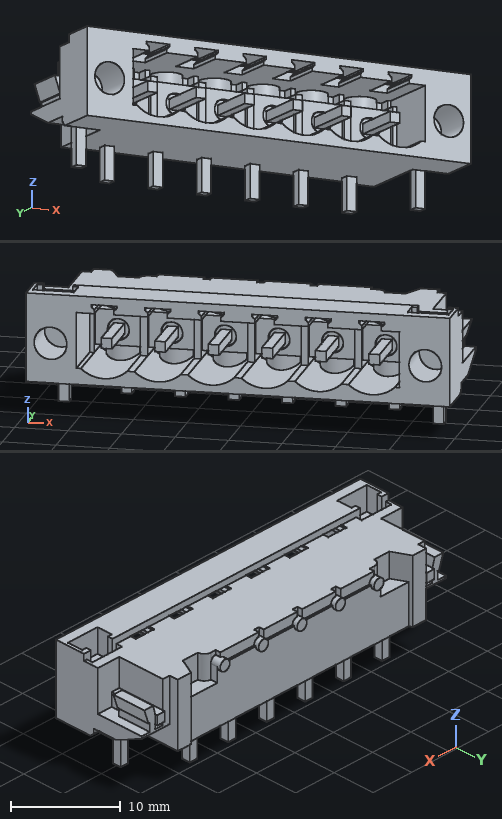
import cadquery as cq
import math


poles = 6
end_pin_span = 35.0
pitch = end_pin_span / (poles + 1)
pole_xs = [(i - (poles - 1) / 2) * pitch for i in range(poles)]
between_pole_xs = [(i - (poles - 2) / 2) * pitch for i in range(poles - 1)]
rib_xs = [(i - poles / 2) * pitch for i in range(poles + 1)]
sides = (-1, 1)

length = 39.6
depth = 12.0
height = 8.4
deck_z = 7.65
step_y = 3.6
flange_depth = 5.4
body_width = 34.05
body_rear_y = 10.95
ear_outer_x = 16.15
ear_inner_x = 14.4

chamber_width = 30.18
chamber_top_z = 6.8
chamber_depth = 7.92
rib_width = 0.67
rib_foot_z = 1.55
rib_front_y = 5.55
rib_top_z = 5.98
upper_rib_width = 0.48
upper_rib_front_y = 6.75
scallop_depth = 0.85
block_front_y = 5.95
block_bottom_z = 2.25
block_top_z = 5.62
column_radius = 1.55
recess_diameter = 2.0
recess_depth = 0.4
keyway_rear_y = 4.25
keyway_throat = 1.82
keyway_width = 2.38
keyway_slope_start_z = 7.15

hole_diameter = 3.05
axis_z = 3.75
hole_depth = 4.3
key_pocket_width = 3.85
key_pocket_front_y = 1.2
key_pocket_rear_y = 4.3
key_pocket_floor_z = 5.55
key_pocket_tab_front_y = 3.0
key_pocket_tab_length = 0.5

wing_top_z = 2.75
wing_tip_z = 2.45
wing_bottom_z = 0.95
wing_slope_y = 7.7
foot_rear_y = 4.87
foot_chamfer = 0.45
bar_outer_x = 18.0
bar_rear_y = 11.2
bar_top_z = 4.3
bar_slot_height = 0.48
bar_slot_front_y = 6.57
hook_front_y = 7.0
hook_outer_x = 19.45
hook_top_z = 5.35
hook_slope_bottom_z = 3.7
hook_slope_run = 0.55
hook_stem_x = 18.75
hook_inner_slope_run = 0.28

rear_wall_y = 11.65
deck_rear_y = 11.4
bead_radius = 0.65
bead_z = 6.5
bead_front_y = 10.8
pocket_floor_z = 4.75
pocket_front_y = 9.98
pocket_outer_x = 13.42
pocket_corner_radius = bead_front_y - pocket_front_y

pin_size = 1.0
contact_tip_y = 1.05
contact_leg_y = 9.95
end_pin_y = 6.0
end_pin_top_z = 1.98
leg_length = 3.25


def box(x0, x1, y0, y1, z0, z1):
    """Axis-aligned block between two limits on each axis."""
    return cq.Workplane("XY").box(x1 - x0, y1 - y0, z1 - z0, centered=False).translate((x0, y0, z0))


def mirrored_box(side, x0, x1, y0, y1, z0, z1):
    """Block placed at x0..x1 on the +X side, or at its mirror image for side = -1."""
    low, high = sorted((side * x0, side * x1))
    return box(low, high, y0, y1, z0, z1)


def main_body():
    """Core with wider shoulders; the rear wall lies between two sloped ears."""
    core = box(-ear_outer_x, ear_outer_x, 0, depth, 0, deck_z)
    shoulders = box(-body_width / 2, body_width / 2, 0, body_rear_y, wing_tip_z, deck_z)
    ear_slope = (ear_inner_x - pocket_outer_x) / (depth - pocket_front_y)
    gap_front_x = ear_inner_x - ear_slope * (depth - rear_wall_y)
    rear_gap = (
        cq.Workplane("XY")
        .moveTo(-ear_inner_x, depth)
        .lineTo(-gap_front_x, rear_wall_y)
        .lineTo(gap_front_x, rear_wall_y)
        .lineTo(ear_inner_x, depth)
        .close()
        .extrude(deck_z)
    )
    return core.union(shoulders).cut(rear_gap)


def flanges_and_wings():
    """Full-length section: stepped front block with the wings reaching back from it."""
    outline = [
        (0, 0),
        (foot_rear_y - foot_chamfer, 0),
        (foot_rear_y, foot_chamfer),
        (foot_rear_y, wing_bottom_z),
        (wing_slope_y, wing_bottom_z),
        (body_rear_y, wing_tip_z),
        (body_rear_y, wing_top_z),
        (flange_depth, wing_top_z),
        (flange_depth, deck_z),
        (step_y, deck_z),
        (step_y, height),
        (0, height),
    ]
    return cq.Workplane("YZ").polyline(outline).close().extrude(length / 2, both=True)


def chamber():
    """Opening with one scallop in its floor below each pole."""
    half = chamber_width / 2
    scallop_half = (pitch - rib_width) / 2
    profile = cq.Workplane("XZ").moveTo(-half, chamber_top_z).lineTo(-half, rib_foot_z)
    for x in pole_xs:
        profile = profile.lineTo(x - scallop_half, rib_foot_z)
        profile = profile.threePointArc((x, rib_foot_z - scallop_depth), (x + scallop_half, rib_foot_z))
    profile = profile.lineTo(half, rib_foot_z).lineTo(half, chamber_top_z).close()
    return profile.extrude(-chamber_depth)


def keyway(x):
    """Dovetail groove in the chamber roof, open through the deck behind the step."""
    throat = keyway_throat / 2
    wide = keyway_width / 2
    slope_end_z = keyway_slope_start_z + wide - throat
    right_edge = [
        (throat, chamber_top_z),
        (throat, keyway_slope_start_z),
        (wide, slope_end_z),
        (wide, deck_z),
    ]
    left_edge = [(-px, pz) for px, pz in reversed(right_edge)]
    outline = [(x + px, pz) for px, pz in right_edge + left_edge]
    return cq.Workplane("XZ").polyline(outline).close().extrude(-keyway_rear_y)


def pole_support(x):
    """Round column and cross block behind one pole, recessed round the contact."""
    column = (
        cq.Workplane("XY")
        .workplane(offset=rib_foot_z - scallop_depth)
        .center(x, chamber_depth)
        .circle(column_radius)
        .extrude(chamber_top_z - rib_foot_z + scallop_depth)
    )
    block = box(x - pitch / 2, x + pitch / 2, block_front_y, chamber_depth, block_bottom_z, block_top_z)
    recess = (
        cq.Workplane("XZ", origin=(x, block_front_y, axis_z))
        .circle(recess_diameter / 2)
        .extrude(-recess_depth)
    )
    return column.union(block).cut(recess)


def chamber_rib(x):
    """Rib between two poles, with a narrower upper part set further back."""
    lower = box(x - rib_width / 2, x + rib_width / 2, rib_front_y, chamber_depth, rib_foot_z, rib_top_z)
    half = upper_rib_width / 2
    upper = box(x - half, x + half, upper_rib_front_y, chamber_depth, rib_top_z, chamber_top_z)
    return lower.union(upper)


def flange_cut(side):
    """Blind screw hole from the front, and above it a keyed pocket that is open at the top."""
    x = side * end_pin_span / 2
    half = key_pocket_width / 2
    pocket = box(x - half, x + half, key_pocket_front_y, key_pocket_rear_y, key_pocket_floor_z, height)
    for edge in sides:
        tab_x0, tab_x1 = sorted((x + edge * half, x + edge * (half - key_pocket_tab_length)))
        pocket = pocket.cut(box(tab_x0, tab_x1, key_pocket_tab_front_y, step_y, key_pocket_floor_z, height))
    hole = cq.Workplane("XZ", origin=(x, 0, axis_z)).circle(hole_diameter / 2).extrude(-hole_depth)
    return pocket.union(hole)


def latch(side):
    """Bar along the body side, slotted underneath, with a hook on its outer face."""
    inner_x = body_width / 2
    bar = mirrored_box(side, inner_x, bar_outer_x, flange_depth, bar_rear_y, wing_top_z, bar_top_z)
    slot_top_z = wing_top_z + bar_slot_height
    slot = mirrored_box(side, inner_x, bar_outer_x, bar_slot_front_y, bar_rear_y, wing_top_z, slot_top_z)
    outline = [
        (bar_outer_x, wing_top_z),
        (hook_stem_x, wing_top_z),
        (hook_stem_x, hook_slope_bottom_z),
        (hook_outer_x - hook_slope_run, hook_slope_bottom_z),
        (hook_outer_x, hook_top_z),
        (bar_outer_x + hook_inner_slope_run, hook_top_z),
        (bar_outer_x, bar_top_z),
    ]
    hook = (
        cq.Workplane("XZ", origin=(0, hook_front_y, 0))
        .polyline([(side * px, pz) for px, pz in outline])
        .close()
        .extrude(hook_front_y - body_rear_y)
    )
    return bar.cut(slot).union(hook)


def rear_pocket(side):
    """Cut-out inside one ear: sloped ear wall, straight front, rounded inner corner."""
    inner_x = between_pole_xs[-1] + bead_radius
    arc_x = inner_x + pocket_corner_radius
    arc_offset = pocket_corner_radius * math.sqrt(0.5)
    arc_mid = (side * (inner_x + arc_offset), pocket_front_y + arc_offset)
    return (
        cq.Workplane("XY", origin=(0, 0, pocket_floor_z))
        .moveTo(side * ear_inner_x, depth)
        .lineTo(side * pocket_outer_x, pocket_front_y)
        .lineTo(side * arc_x, pocket_front_y)
        .threePointArc(arc_mid, (side * inner_x, bead_front_y))
        .lineTo(side * inner_x, depth)
        .close()
        .extrude(deck_z - pocket_floor_z)
    )


def deck_rear_cut():
    """Sets the deck edge back above the rear wall and notches it over one half of each bead."""
    end_x = between_pole_xs[-1] + bead_radius
    cut = box(-end_x, end_x, deck_rear_y, depth, bead_z, deck_z)
    for x in between_pole_xs:
        notch_side = 1 if x == between_pole_xs[-1] else -1
        low, high = sorted((x, x + notch_side * bead_radius))
        cut = cut.union(box(low, high, bead_front_y, depth, bead_z, deck_z))
    return cut


def bead(x):
    """Round bead lying along Y between two poles and standing out from the rear wall."""
    bead_length = depth - bead_front_y
    return cq.Workplane("XZ", origin=(x, bead_front_y, bead_z)).circle(bead_radius).extrude(-bead_length)


def contact(x):
    """Angled contact: a bar into the chamber and a leg down through the housing."""
    half = pin_size / 2
    leg_rear_y = contact_leg_y + half
    bar = box(x - half, x + half, contact_tip_y, leg_rear_y, axis_z - half, axis_z + half)
    leg = box(x - half, x + half, contact_leg_y - half, leg_rear_y, -leg_length, axis_z + half)
    return bar.union(leg)


def end_pin(side):
    """Straight mounting pin below one wing."""
    half = pin_size / 2
    x = side * end_pin_span / 2
    return box(x - half, x + half, end_pin_y - half, end_pin_y + half, -leg_length, end_pin_top_z)


def housing_body(pins):
    """Complete housing, with sockets that fit the given pins."""
    body = main_body().union(flanges_and_wings())
    body = body.cut(chamber())
    for x in pole_xs:
        body = body.union(pole_support(x)).cut(keyway(x))
    for x in rib_xs:
        body = body.union(chamber_rib(x))
    for side in sides:
        body = body.union(latch(side)).cut(flange_cut(side)).cut(rear_pocket(side))
    body = body.cut(deck_rear_cut())
    for x in between_pole_xs:
        body = body.union(bead(x))
    for pin in pins:
        body = body.cut(pin)
    return body


contacts = [contact(x) for x in pole_xs]
end_pins = [end_pin(side) for side in sides]
housing = housing_body(contacts + end_pins)

result = cq.Compound.makeCompound(
    [*housing.solids().vals(), *[pin.val() for pin in contacts], *[pin.val() for pin in end_pins]]
)